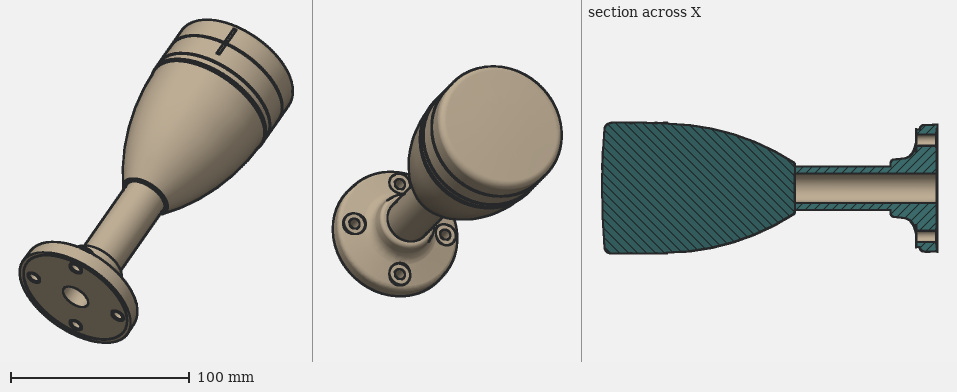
import cadquery as cq

TOTAL_LENGTH = 188.0

FLANGE_BASE_RADIUS = 35.7
FLANGE_RIM_RADIUS = 35.5
FLANGE_RIM_HEIGHT = 9.5
FLANGE_RIM_FILLET = 3.0
COLLAR_ROOT_RADIUS = 17.3
COLLAR_ROOT_HEIGHT = 14.5
COLLAR_ROOT_FILLET = 6.4
COLLAR_TOP_RADIUS = 16.0
COLLAR_TOP_HEIGHT = 26.5
COLLAR_TOP_FILLET = 2.3
STEM_RADIUS = 12.5
CABLE_BORE_RADIUS = 8.0
RECESS_RADIUS = 33.3
RECESS_DEPTH = 0.5

SCREW_COUNT = 4
SCREW_CIRCLE_RADIUS = 26.9
SCREW_HOLE_RADIUS = 3.0
SCREW_COUNTERBORE_RADIUS = 4.0
SCREW_COUNTERBORE_DEPTH = 0.4
SCREW_SEAT_RADIUS = 6.2
SCREW_SEAT_HEIGHT = 12.0

HEAD_BOTTOM = 80.0
HEAD_BOTTOM_RADIUS = 14.1
HEAD_BOTTOM_CHAMFER = 0.5
BOWL_MIDDLE_RADIUS = 30.3
BOWL_MIDDLE_HEIGHT = 114.1
BOWL_TOP_RADIUS = 36.3
BOWL_TOP_HEIGHT = 151.5
HEAD_RADIUS = 36.7
DOME_HEIGHT = 1.3
CAP_ROUNDING = 4.1
GROOVE_HEIGHTS = (152.9, 157.5, 171.7)
GROOVE_WIDTH = 0.5
GROOVE_DEPTH = 0.28

MARK_WIDTH = 1.7
MARK_RISE = 0.2
MARK_BOTTOM = 163.2
MARK_TOP = TOTAL_LENGTH - DOME_HEIGHT - CAP_ROUNDING

PICK_MARGIN = 0.2


def cylinder(radius, start, end):
    """Cylinder about the Y axis between two heights along Y."""
    return cq.Workplane("XZ", origin=(0, start, 0)).circle(radius).extrude(start - end)


def screw_cylinders(radius, start, end):
    """One cylinder at each screw position, parallel to the Y axis."""
    return (
        cq.Workplane("XZ", origin=(0, start, 0))
        .polarArray(SCREW_CIRCLE_RADIUS, 0, 360, SCREW_COUNT)
        .circle(radius)
        .extrude(start - end)
    )


def circle_edge(radius, height):
    """Selector for the circular edge with the given radius at the given height along Y."""
    reach = radius + PICK_MARGIN
    return cq.selectors.BoxSelector(
        (-reach, height - PICK_MARGIN, -reach),
        (reach, height + PICK_MARGIN, reach),
        boundingbox=True,
    )


def make_stand():
    """Flange, collar and stem as one body, bored through for the cable."""
    foot = (
        cq.Workplane("ZY")
        .moveTo(0, 0)
        .lineTo(FLANGE_BASE_RADIUS, 0)
        .lineTo(FLANGE_RIM_RADIUS, FLANGE_RIM_HEIGHT)
        .lineTo(COLLAR_ROOT_RADIUS, COLLAR_ROOT_HEIGHT)
        .lineTo(COLLAR_TOP_RADIUS, COLLAR_TOP_HEIGHT)
        .lineTo(0, COLLAR_TOP_HEIGHT)
        .close()
        .revolve(360, (0, 0, 0), (0, 1, 0))
        .edges(circle_edge(FLANGE_RIM_RADIUS, FLANGE_RIM_HEIGHT))
        .fillet(FLANGE_RIM_FILLET)
        .edges(circle_edge(COLLAR_ROOT_RADIUS, COLLAR_ROOT_HEIGHT))
        .fillet(COLLAR_ROOT_FILLET)
        .edges(circle_edge(COLLAR_TOP_RADIUS, COLLAR_TOP_HEIGHT))
        .fillet(COLLAR_TOP_FILLET)
    )

    foot = foot.union(screw_cylinders(SCREW_SEAT_RADIUS, RECESS_DEPTH, SCREW_SEAT_HEIGHT))
    foot = foot.cut(screw_cylinders(SCREW_SEAT_RADIUS, SCREW_SEAT_HEIGHT, COLLAR_TOP_HEIGHT))

    stand = foot.union(cylinder(STEM_RADIUS, RECESS_DEPTH, HEAD_BOTTOM))
    stand = stand.cut(cylinder(RECESS_RADIUS, 0, RECESS_DEPTH))
    stand = stand.cut(cylinder(CABLE_BORE_RADIUS, 0, HEAD_BOTTOM))
    stand = stand.cut(screw_cylinders(SCREW_HOLE_RADIUS, 0, SCREW_SEAT_HEIGHT))
    return stand.cut(
        screw_cylinders(SCREW_COUNTERBORE_RADIUS, 0, RECESS_DEPTH + SCREW_COUNTERBORE_DEPTH)
    )


def make_head():
    """Lamp head that sits on the end of the stem, with its grooves and alignment mark."""
    dome_edge_height = TOTAL_LENGTH - DOME_HEIGHT
    dome_radius = HEAD_RADIUS - CAP_ROUNDING
    dome_curve_radius = (dome_radius**2 + DOME_HEIGHT**2) / (2 * DOME_HEIGHT)
    head = (
        cq.Workplane("ZY")
        .moveTo(0, HEAD_BOTTOM)
        .lineTo(HEAD_BOTTOM_RADIUS, HEAD_BOTTOM)
        .threePointArc((BOWL_MIDDLE_RADIUS, BOWL_MIDDLE_HEIGHT), (BOWL_TOP_RADIUS, BOWL_TOP_HEIGHT))
        .lineTo(HEAD_RADIUS, BOWL_TOP_HEIGHT)
        .lineTo(HEAD_RADIUS, dome_edge_height - CAP_ROUNDING)
        .radiusArc((dome_radius, dome_edge_height), -CAP_ROUNDING)
        .radiusArc((0, TOTAL_LENGTH), -dome_curve_radius)
        .close()
        .revolve(360, (0, 0, 0), (0, 1, 0))
        .edges(circle_edge(HEAD_BOTTOM_RADIUS, HEAD_BOTTOM))
        .chamfer(HEAD_BOTTOM_CHAMFER)
    )

    mark_outline = cylinder(HEAD_RADIUS + MARK_RISE, MARK_BOTTOM, MARK_TOP)
    mark_strip = cq.Workplane("XY").box(
        MARK_WIDTH, 2 * TOTAL_LENGTH, 2 * HEAD_RADIUS, centered=(True, True, False)
    )
    head = head.union(mark_outline.intersect(mark_strip))

    for height in GROOVE_HEIGHTS:
        start = height - GROOVE_WIDTH / 2
        end = height + GROOVE_WIDTH / 2
        ring = cylinder(HEAD_RADIUS + MARK_RISE, start, end)
        head = head.cut(ring.cut(cylinder(HEAD_RADIUS - GROOVE_DEPTH, start, end)))
    return head


stand = make_stand()
head = make_head()

result = cq.Compound.makeCompound([stand.val(), head.val()])